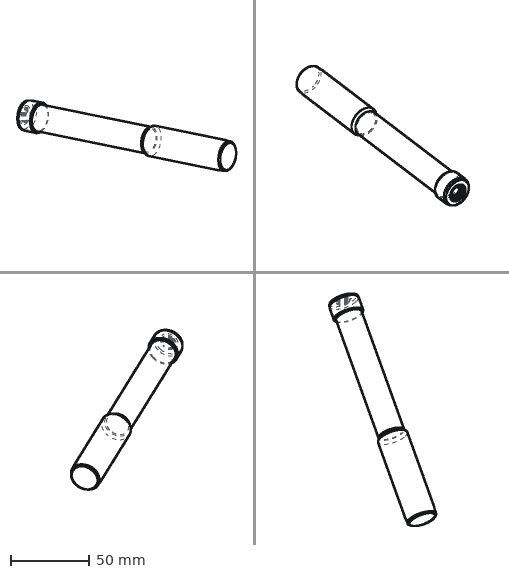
import cadquery as cq

total_length = 160.0
joint_x = 97.6

head_radius = 20.0 / 2
face_edge_radius = 9.1
face_edge_x = 0.3
rim_bulge_x = 0.8
rim_bulge_radius = 9.6
rim_end_x = 1.9
rim_end_radius = 9.8
head_straight_x = 2.9
shoulder_x = 11.7
shoulder_chamfer = 0.6
shank_radius = 17.5 / 2

mouth_radius = 6.0
countersink_depth = 0.3
recess_radius = 5.0
floor_radius = 3.0
step_count = 3
step_depth = 0.8
step_cone_length = 0.2
step_wall_draft = 0.2

grip_radius = 20.0 / 2
lead_in_length = 2.4
rear_radius = 19.5 / 2
rear_taper_start_x = 154.5
rear_taper_end_x = 156.0
rear_chamfer = 1.0


def revolve_about_x(outline):
    """Revolve a closed half-profile, drawn as (x, radius), about the X axis."""
    return outline.close().revolve(360, (0, 0, 0), (1, 0, 0))


def recess_points():
    """Half-profile of the recess, from its mouth to the centre of its floor."""
    points = [(0, mouth_radius), (countersink_depth, recess_radius)]
    step_width = (recess_radius - floor_radius) / step_count
    for step in range(step_count):
        step_x = countersink_depth + step * step_depth
        step_radius = recess_radius - step * step_width
        wall_end_x = step_x + step_depth - step_cone_length
        points.append((wall_end_x, step_radius - step_wall_draft))
        points.append((step_x + step_depth, step_radius - step_width))
    floor_x = countersink_depth + step_count * step_depth
    points.append((floor_x, 0))
    return points


def make_rod():
    outline = (
        cq.Workplane("XY")
        .polyline(list(reversed(recess_points())))
        .lineTo(face_edge_x, face_edge_radius)
        .threePointArc((rim_bulge_x, rim_bulge_radius), (rim_end_x, rim_end_radius))
        .lineTo(head_straight_x, head_radius)
        .lineTo(shoulder_x - shoulder_chamfer, head_radius)
        .lineTo(shoulder_x, head_radius - shoulder_chamfer)
        .lineTo(shoulder_x, shank_radius)
        .lineTo(joint_x, shank_radius)
        .lineTo(joint_x, 0)
    )
    return revolve_about_x(outline)


def make_grip():
    outline = cq.Workplane("XY").polyline([
        (joint_x, 0),
        (joint_x, grip_radius - lead_in_length),
        (joint_x + lead_in_length, grip_radius),
        (rear_taper_start_x, grip_radius),
        (rear_taper_end_x, rear_radius),
        (total_length - rear_chamfer, rear_radius),
        (total_length, rear_radius - rear_chamfer),
        (total_length, 0),
    ])
    return revolve_about_x(outline)


rod = make_rod()
grip = make_grip()

result = cq.Compound.makeCompound([rod.val(), grip.val()])